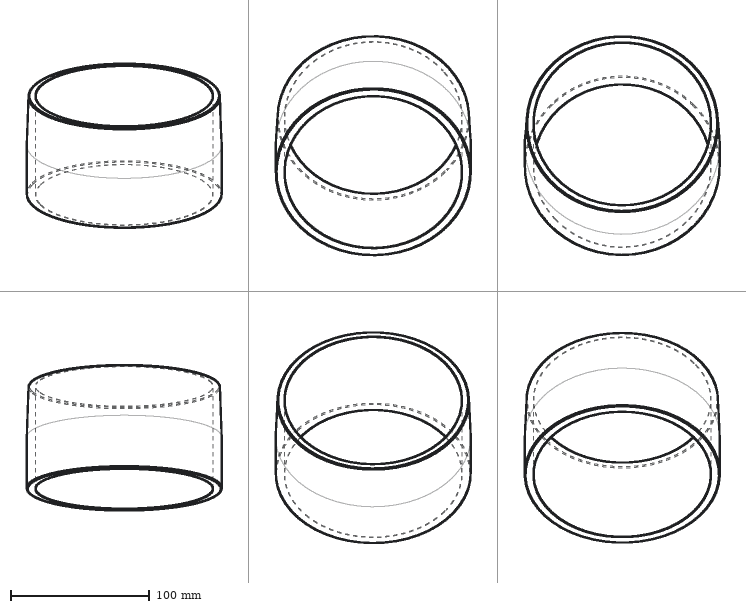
import cadquery as cq

outer_diameter = 141.2
bore_diameter = 128.1
height = 76.3
straight_height = 38.4
top_diameter = 138.7
outer_chamfer = 0.7
bore_chamfer = 0.3

outer_radius = outer_diameter / 2
bore_radius = bore_diameter / 2
top_radius = top_diameter / 2

section = (
    cq.Workplane("XZ")
    .moveTo(-bore_radius - bore_chamfer, 0)
    .lineTo(-outer_radius + outer_chamfer, 0)
    .lineTo(-outer_radius, outer_chamfer)
    .lineTo(-outer_radius, straight_height)
    .lineTo(-top_radius, height - outer_chamfer)
    .lineTo(-top_radius + outer_chamfer, height)
    .lineTo(-bore_radius - bore_chamfer, height)
    .lineTo(-bore_radius, height - bore_chamfer)
    .lineTo(-bore_radius, bore_chamfer)
    .close()
)

result = section.revolve(360, (0, 0, 0), (0, 1, 0))